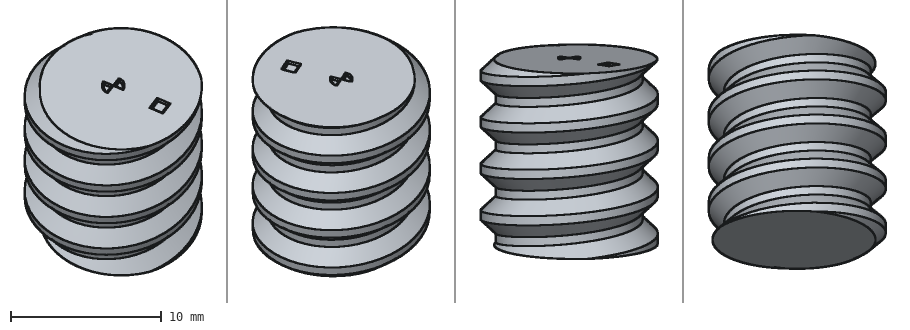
import cadquery as cq

length = 12.5
crest_diameter = 11.75
root_diameter = 9.75
pitch = length / 4
crest_width = 0.62
flank_rise = 0.95
blank_margin = 1.0

mark_depth = 0.12
mark_taper = 45.0
square_side = 1.0
square_offset = 3.58
sector_radius = 0.75

crest_radius = crest_diameter / 2
root_radius = root_diameter / 2


def helix(radius, height):
    """Right-handed helix starting on the +X side, running one pitch past both ends of the rod."""
    curve = cq.Wire.makeHelix(pitch, length + 2 * pitch, radius)
    return curve.translate(cq.Vector(0, 0, height - pitch))


def thread_surface():
    """Continuous skin of the thread: lower flank, crest, upper flank and root."""
    half_crest = crest_width / 2
    half_base = half_crest + flank_rise
    edges = [
        helix(root_radius, -half_base),
        helix(crest_radius, -half_crest),
        helix(crest_radius, half_crest),
        helix(root_radius, half_base),
        helix(root_radius, pitch - half_base),
    ]
    strips = [cq.Face.makeRuledSurface(lower, upper) for lower, upper in zip(edges, edges[1:])]
    return cq.Shell.makeShell([face for strip in strips for face in strip.Faces()])


def threaded_rod():
    """Split an oversized cylinder along the thread skin and keep the piece inside it."""
    blank = cq.Workplane("XY").circle(crest_radius + blank_margin).extrude(length)
    pieces = blank.val().split(thread_surface()).Solids()
    rod = min(pieces, key=lambda piece: piece.BoundingBox().xlen)
    return cq.Workplane("XY").newObject([rod])


def square_mark():
    top = cq.Workplane("XY").workplane(offset=length).center(square_offset, 0)
    return top.rect(square_side, square_side).extrude(-mark_depth, taper=mark_taper)


def sector_mark(side):
    """Quarter-circle recess on the +X +Y side (side=1) or the -X -Y side (side=-1)."""
    reach = side * sector_radius
    diagonal = reach / 2**0.5
    outline = (
        cq.Workplane("XY")
        .workplane(offset=length)
        .lineTo(reach, 0)
        .threePointArc((diagonal, diagonal), (0, reach))
        .close()
    )
    return outline.extrude(-mark_depth, taper=mark_taper)


result = threaded_rod().cut(square_mark())
for side in (1, -1):
    result = result.cut(sector_mark(side))